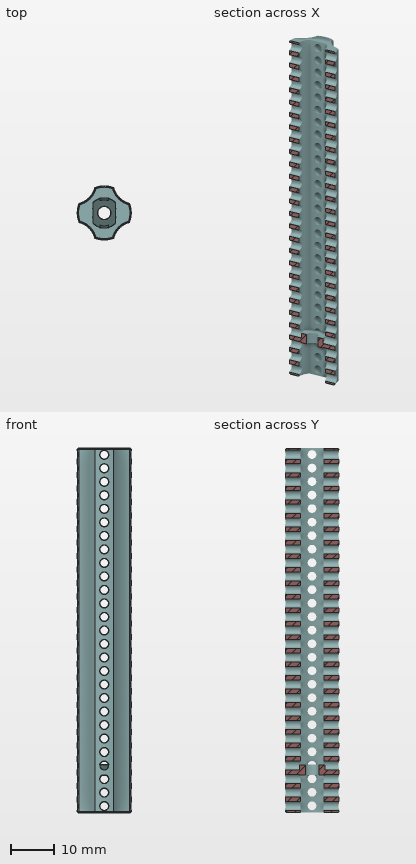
import cadquery as cq
import math

pitch = 3.125
hole_count = 27
length = pitch * hole_count
outer_radius = 2 * pitch
lobe_half_width = 2.18
lobe_corner = 5.84
valley_radius = 4.96
edge_chamfer = 0.3

side_hole_diameter = 2.0

cavity_diameter = 7.0
cavity_width = 5.3

partition_bottom = 8.65
partition_thickness = 2.5
partition_top = partition_bottom + partition_thickness
core_diameter = 6.0
bore_diameter = 3.0


def disc(diameter, bottom, top):
    """Cylinder on the part axis between two heights."""
    return cq.Workplane("XY").workplane(offset=bottom).circle(diameter / 2).extrude(top - bottom)


def rotated(x, y, degrees):
    """Turn a point about the part axis."""
    angle = math.radians(degrees)
    return (
        x * math.cos(angle) - y * math.sin(angle),
        x * math.sin(angle) + y * math.cos(angle),
    )


def make_body():
    """Four rounded lobes joined by concave flutes on the diagonals."""
    outline = cq.Workplane("XY").moveTo(lobe_corner, -lobe_half_width)
    for turn in range(0, 360, 90):
        outline = outline.threePointArc(
            rotated(outer_radius, 0, turn),
            rotated(lobe_corner, lobe_half_width, turn),
        )
        outline = outline.threePointArc(
            rotated(valley_radius, 0, turn + 45),
            rotated(lobe_corner, -lobe_half_width, turn + 90),
        )
    return outline.close().extrude(length).faces("<Z or >Z").chamfer(edge_chamfer)


def make_cavity(bottom, top):
    """Round cavity with two flats, facing +X and -X."""
    slab = (
        cq.Workplane("XY")
        .workplane(offset=bottom)
        .rect(cavity_width, cavity_diameter)
        .extrude(top - bottom)
    )
    return disc(cavity_diameter, bottom, top).intersect(slab)


def make_side_holes():
    """One row of holes along the +X lobe, from the axis outward."""
    first_height = pitch / 2
    centres = [(0, first_height + pitch * index) for index in range(hole_count)]
    row = cq.Workplane("YZ").pushPoints(centres).circle(side_hole_diameter / 2).extrude(outer_radius)
    return row.cut(disc(core_diameter, partition_bottom, partition_top))


result = make_body()
result = result.cut(make_cavity(0, partition_bottom))
result = result.cut(make_cavity(partition_top, length))
result = result.cut(disc(bore_diameter, partition_bottom, partition_top))

side_holes = make_side_holes()
for turn in range(0, 360, 90):
    result = result.cut(side_holes.rotate((0, 0, 0), (0, 0, 1), turn))